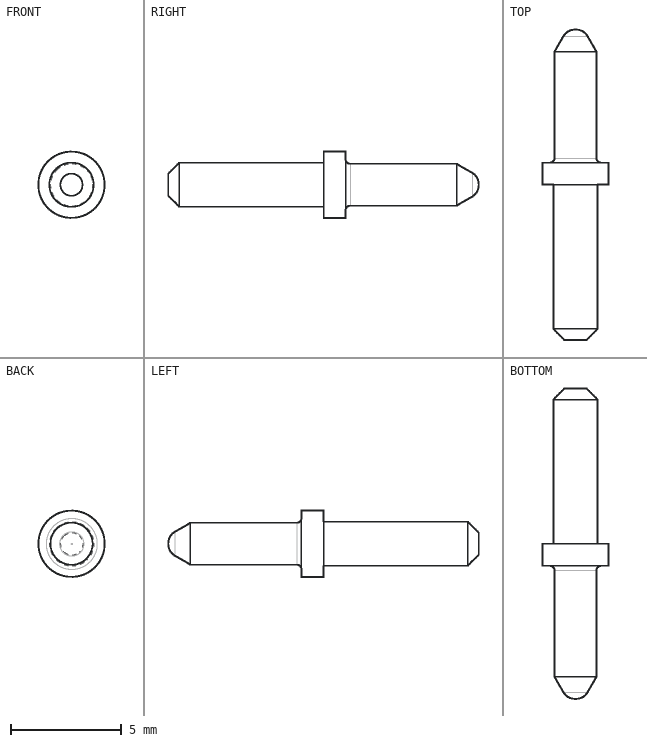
import cadquery as cq
import math

COLLAR_RADIUS = 1.5
COLLAR_LENGTH = 1.0

FRONT_RADIUS = 1.0
FRONT_LENGTH = 7.0
FRONT_CHAMFER = 0.5

REAR_RADIUS = 0.95
REAR_END = 7.0
COLLAR_FILLET = 0.2
NOSE_LENGTH = 1.0
NOSE_HALF_ANGLE = math.radians(30)
TIP_RADIUS = 0.6


def front_shank():
    shank = cq.Workplane("XZ").circle(FRONT_RADIUS).extrude(FRONT_LENGTH)
    return shank.faces("<Y").chamfer(FRONT_CHAMFER)


def collar():
    return cq.Workplane("XZ").circle(COLLAR_RADIUS).extrude(-COLLAR_LENGTH)


def rear_shank():
    """Revolved half profile: fillet flare, cylinder, cone, rounded tip."""
    sharp_tip_radius = REAR_RADIUS - NOSE_LENGTH * math.tan(NOSE_HALF_ANGLE)
    turn = math.pi / 2 - NOSE_HALF_ANGLE
    tangent_length = TIP_RADIUS * math.tan(turn / 2)
    end_face_radius = sharp_tip_radius - tangent_length
    tip_center_y = REAR_END - TIP_RADIUS

    def tip_point(angle):
        """Point on the tip rounding, with the angle measured from the axis."""
        return (
            end_face_radius + TIP_RADIUS * math.sin(angle),
            tip_center_y + TIP_RADIUS * math.cos(angle),
        )

    fillet_middle = COLLAR_FILLET * (1 - math.sqrt(0.5))
    profile = (
        cq.Workplane("XY")
        .moveTo(0, COLLAR_LENGTH)
        .lineTo(REAR_RADIUS + COLLAR_FILLET, COLLAR_LENGTH)
        .threePointArc(
            (REAR_RADIUS + fillet_middle, COLLAR_LENGTH + fillet_middle),
            (REAR_RADIUS, COLLAR_LENGTH + COLLAR_FILLET),
        )
        .lineTo(REAR_RADIUS, REAR_END - NOSE_LENGTH)
        .lineTo(*tip_point(turn))
        .threePointArc(tip_point(turn / 2), tip_point(0))
        .lineTo(0, REAR_END)
        .close()
    )
    return profile.revolve(360, (0, 0, 0), (0, 1, 0))


result = front_shank().union(collar()).union(rear_shank())